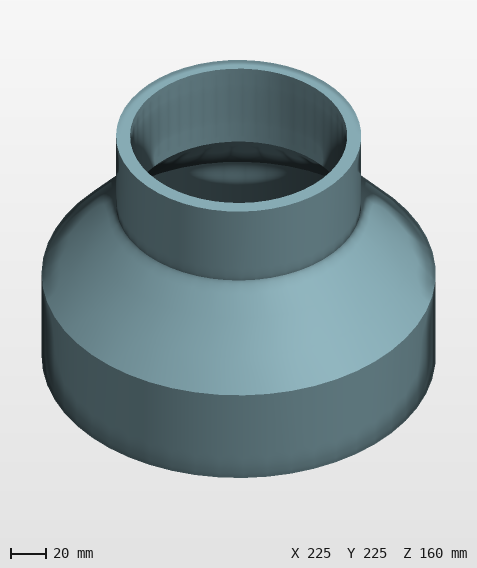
import cadquery as cq
import math

large_diameter = 225.0
large_wall = 12.8
large_length = 60.0
small_diameter = 140.0
small_wall = 8.0
small_length = 50.0
cone_length = 50.0
cone_wall = small_wall

large_radius = large_diameter / 2
small_radius = small_diameter / 2
large_bore_radius = large_radius - large_wall
small_bore_radius = small_radius - small_wall

cone_base = large_length
cone_top = cone_base + cone_length
total_height = cone_top + small_length

cone_angle = math.atan2(large_radius - small_radius, cone_length)


def inner_cone_height(radius):
    """Height at which the inner cone, parallel to the outer one, has this radius."""
    radial_wall = cone_wall / math.cos(cone_angle)
    outer_radius = radius + radial_wall
    return cone_base + (large_radius - outer_radius) / math.tan(cone_angle)


def stepped_body(bottom_radius, bottom_end, top_radius, top_start):
    """Solid of revolution about Z: a cylinder, a cone and a smaller cylinder."""
    return (
        cq.Workplane("XZ")
        .lineTo(bottom_radius, 0)
        .lineTo(bottom_radius, bottom_end)
        .lineTo(top_radius, top_start)
        .lineTo(top_radius, total_height)
        .lineTo(0, total_height)
        .close()
        .revolve(360, (0, 0, 0), (0, 1, 0))
    )


outside = stepped_body(large_radius, cone_base, small_radius, cone_top)
bore = stepped_body(
    large_bore_radius,
    inner_cone_height(large_bore_radius),
    small_bore_radius,
    inner_cone_height(small_bore_radius),
)

result = outside.cut(bore)